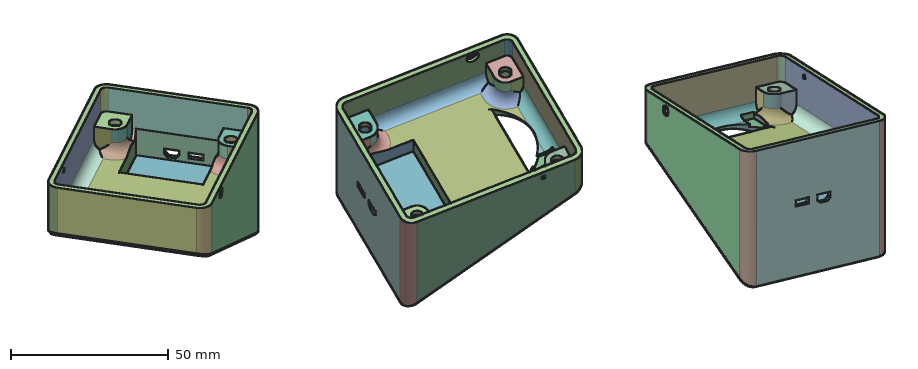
import cadquery as cq
import math

LENGTH = 63.75
WIDTH = 53.75
HEIGHT = 47.4
WALL = 2.0
OUTER_CORNER_RADIUS = 3.95
INNER_CORNER_RADIUS = OUTER_CORNER_RADIUS - WALL
BASE_ANGLE = 25.0
BASE_CHAMFER = 1.0
SIN_BASE = math.sin(math.radians(BASE_ANGLE))
COS_BASE = math.cos(math.radians(BASE_ANGLE))
TAN_BASE = SIN_BASE / COS_BASE

BACK_DEPTH = HEIGHT + BASE_CHAMFER * SIN_BASE
FRONT_DEPTH = BACK_DEPTH - LENGTH * TAN_BASE

INNER_LENGTH = LENGTH - 2 * WALL
INNER_WIDTH = WIDTH - 2 * WALL
FLOOR_DEPTH = 18.0
FLOOR_FILLET = 4.0
FILLET_TOP_DEPTH = FLOOR_DEPTH - FLOOR_FILLET
FILLET_MIDPOINT = FLOOR_FILLET * math.sqrt(0.5)
POST_TOP_DEPTH = 9.0
POST_CORNER_RADIUS = 4.0
SCREW_X = 19.05
BACK_SCREW_Y = 24.05
FRONT_SCREW_Y = -25.45
SCREW_HOLE_DIAMETER = 4.0
SCREW_HEAD_DIAMETER = 6.0
SCREW_SEAT_THICKNESS = 2.15

RECESS_WIDTH = 42.1
RECESS_LENGTH = 60.45
RECESS_DEPTH = 6.0
RECESS_CHAMFER = 1.0
RECESS_OFFSET = 0.2

BACK_POCKET_WIDTH = 27.65
BACK_POCKET_FRONT_Y = 9.55
BACK_POCKET_DEPTH = 24.2
BACK_POCKET_WALL_BITE = 0.5
FRONT_POCKET_WIDTH = 4.9
FRONT_POCKET_LENGTH = 8.55
FRONT_POCKET_X = -11.15
FRONT_POCKET_Y = -24.5
FRONT_POCKET_DEPTH = FLOOR_DEPTH + 1.0

PORT_WIDTH = 5.0
TAPERED_PORT_DEPTH = 21.8
TAPERED_PORT_HEIGHT = 3.0
TAPERED_PORT_CHAMFER = 1.2
TAPERED_PORT_X = -2.2
FLAT_PORT_DEPTH = 21.55
FLAT_PORT_HEIGHT = 2.1
FLAT_PORT_X = 5.8

SIDE_HOLE_Y = -16.75
SIDE_HOLE_DEPTH = 2.95
LEFT_HOLE_DIAMETER = 1.4
RIGHT_HOLE_DIAMETER = 3.3
RIGHT_COUNTERBORE_DIAMETER = 4.2
RIGHT_COUNTERBORE_DEPTH = 1.3


def make_body():
    """Wedge with rounded upright corners and a chamfered underside."""
    side_outline = [
        (-LENGTH / 2, 0),
        (LENGTH / 2, 0),
        (LENGTH / 2, -BACK_DEPTH),
        (-LENGTH / 2, -FRONT_DEPTH),
    ]
    wedge = cq.Workplane("YZ").polyline(side_outline).close().extrude(WIDTH / 2, both=True)
    wedge = wedge.edges("|Z").fillet(OUTER_CORNER_RADIUS)
    return wedge.faces("<Z").edges().chamfer(BASE_CHAMFER)


def make_post(x_side, y_side, screw_y):
    """Square post in one inside corner, round about its screw hole."""
    x_inner = SCREW_X - POST_CORNER_RADIUS
    y_inner = abs(screw_y) - POST_CORNER_RADIUS
    x_size = WIDTH / 2 - x_inner
    y_size = LENGTH / 2 - y_inner
    inner_edge = ("<X" if x_side > 0 else ">X", "<Y" if y_side > 0 else ">Y")
    return (
        cq.Workplane("XY", origin=(0, 0, -FLOOR_DEPTH))
        .center(x_side * (x_inner + x_size / 2), y_side * (y_inner + y_size / 2))
        .rect(x_size, y_size)
        .extrude(FLOOR_DEPTH - POST_TOP_DEPTH)
        .edges("|Z").edges(inner_edge[0]).edges(inner_edge[1])
        .fillet(POST_CORNER_RADIUS)
    )


def make_post_foot(x_side, screw_y):
    """Round foot about the screw axis, flaring out to meet the cavity floor."""
    foot_radius = POST_CORNER_RADIUS + FLOOR_FILLET
    return (
        cq.Workplane("XZ", origin=(x_side * SCREW_X, screw_y, 0))
        .moveTo(0, -FLOOR_DEPTH)
        .lineTo(foot_radius, -FLOOR_DEPTH)
        .threePointArc(
            (foot_radius - FILLET_MIDPOINT, -FILLET_TOP_DEPTH - FILLET_MIDPOINT),
            (POST_CORNER_RADIUS, -FILLET_TOP_DEPTH),
        )
        .lineTo(0, -FILLET_TOP_DEPTH)
        .close()
        .revolve(360, (0, 0), (0, 1))
    )


def make_wall_fillets():
    """Concave strips that round the floor into the four walls."""
    strips = []
    for plane, half_span, length in (
        ("XZ", INNER_WIDTH / 2, INNER_LENGTH),
        ("YZ", INNER_LENGTH / 2, INNER_WIDTH),
    ):
        for side in (-1, 1):
            centre_across = side * (half_span - FLOOR_FILLET)
            strips.append(
                cq.Workplane(plane)
                .moveTo(centre_across, -FLOOR_DEPTH)
                .lineTo(side * half_span, -FLOOR_DEPTH)
                .lineTo(side * half_span, -FILLET_TOP_DEPTH)
                .threePointArc(
                    (centre_across + side * FILLET_MIDPOINT, -FILLET_TOP_DEPTH - FILLET_MIDPOINT),
                    (centre_across, -FLOOR_DEPTH),
                )
                .close()
                .extrude(length / 2, both=True)
            )
    return strips


def make_cavity():
    """Space inside the walls and around the posts, with its floor edges rounded."""
    space = (
        cq.Workplane("XY", origin=(0, 0, -FLOOR_DEPTH))
        .rect(INNER_WIDTH, INNER_LENGTH)
        .extrude(FLOOR_DEPTH)
        .edges("|Z")
        .fillet(INNER_CORNER_RADIUS)
    )
    for x_side in (-1, 1):
        for y_side, screw_y in ((1, BACK_SCREW_Y), (-1, FRONT_SCREW_Y)):
            space = space.cut(make_post(x_side, y_side, screw_y))
            space = space.cut(make_post_foot(x_side, screw_y))
    for strip in make_wall_fillets():
        space = space.cut(strip)
    return space


def make_screw_holes():
    """Through holes in the posts, widened for the screw heads from below."""
    points = [(x, y) for x in (-SCREW_X, SCREW_X) for y in (BACK_SCREW_Y, FRONT_SCREW_Y)]
    through = (
        cq.Workplane("XY").pushPoints(points).circle(SCREW_HOLE_DIAMETER / 2).extrude(-BACK_DEPTH)
    )
    seat_depth = POST_TOP_DEPTH + SCREW_SEAT_THICKNESS
    heads = (
        cq.Workplane("XY", origin=(0, 0, -seat_depth))
        .pushPoints(points)
        .circle(SCREW_HEAD_DIAMETER / 2)
        .extrude(-BACK_DEPTH)
    )
    return through.union(heads)


def make_recess():
    """Elliptical recess, sunk square to the underside, with a chamfered mouth."""
    middle_depth = (FRONT_DEPTH + BACK_DEPTH) / 2
    base = cq.Plane(origin=(0, 0, -middle_depth), xDir=(1, 0, 0), normal=(0, SIN_BASE, COS_BASE))
    recess = (
        cq.Workplane(base)
        .center(0, RECESS_OFFSET)
        .ellipse(RECESS_WIDTH / 2, RECESS_LENGTH / 2)
        .extrude(RECESS_DEPTH)
    )
    mouth = (
        cq.Workplane(base)
        .center(0, RECESS_OFFSET)
        .ellipse(RECESS_WIDTH / 2 + RECESS_CHAMFER, RECESS_LENGTH / 2 + RECESS_CHAMFER)
        .workplane(offset=RECESS_CHAMFER)
        .ellipse(RECESS_WIDTH / 2, RECESS_LENGTH / 2)
        .loft(ruled=True)
    )
    return recess.union(mouth)


def make_floor_pockets():
    """Deep pocket against the back wall and a shallow one beside the front left post."""
    back_length = INNER_LENGTH / 2 + BACK_POCKET_WALL_BITE - BACK_POCKET_FRONT_Y
    back = (
        cq.Workplane("XY", origin=(0, BACK_POCKET_FRONT_Y + back_length / 2, -FILLET_TOP_DEPTH))
        .rect(BACK_POCKET_WIDTH, back_length)
        .extrude(FILLET_TOP_DEPTH - BACK_POCKET_DEPTH)
    )
    front = (
        cq.Workplane("XY", origin=(FRONT_POCKET_X, FRONT_POCKET_Y, -FILLET_TOP_DEPTH))
        .rect(FRONT_POCKET_WIDTH, FRONT_POCKET_LENGTH)
        .extrude(FILLET_TOP_DEPTH - FRONT_POCKET_DEPTH)
    )
    return back.union(front)


def make_ports():
    """Opening with chamfered lower corners and a flat rectangular one, through the back wall."""
    wall_outside = cq.Workplane("XZ", origin=(0, LENGTH / 2, 0))
    tapered_port = (
        wall_outside.center(TAPERED_PORT_X, -TAPERED_PORT_DEPTH)
        .rect(PORT_WIDTH, TAPERED_PORT_HEIGHT)
        .extrude(WALL)
        .faces("<Z")
        .edges("|Y")
        .chamfer(TAPERED_PORT_CHAMFER)
    )
    flat_port = (
        wall_outside.center(FLAT_PORT_X, -FLAT_PORT_DEPTH)
        .rect(PORT_WIDTH, FLAT_PORT_HEIGHT)
        .extrude(WALL)
    )
    return tapered_port.union(flat_port)


def make_side_holes():
    """Small hole in the left wall; larger hole, counterbored inside, in the right wall."""
    left = cq.Workplane("YZ", origin=(-WIDTH / 2, SIDE_HOLE_Y, -SIDE_HOLE_DEPTH))
    left = left.circle(LEFT_HOLE_DIAMETER / 2).extrude(WALL)
    inside_right = cq.Workplane("YZ", origin=(INNER_WIDTH / 2, SIDE_HOLE_Y, -SIDE_HOLE_DEPTH))
    right = inside_right.circle(RIGHT_HOLE_DIAMETER / 2).extrude(WALL)
    counterbore = inside_right.circle(RIGHT_COUNTERBORE_DIAMETER / 2).extrude(RIGHT_COUNTERBORE_DEPTH)
    return left.union(right).union(counterbore)


result = (
    make_body()
    .cut(make_cavity())
    .cut(make_floor_pockets())
    .cut(make_recess())
    .cut(make_screw_holes())
    .cut(make_ports())
    .cut(make_side_holes())
)